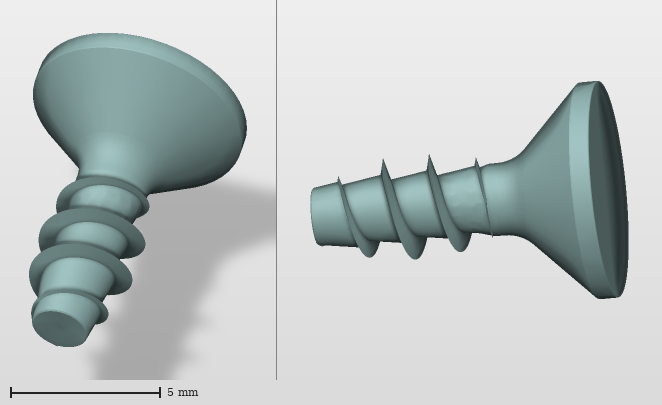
import math

import cadquery as cq

length = 10.0

head_radius = 3.65
rim_depth = 0.66
rim_rounding = 0.05
rim_edge_break = 0.03

neck_radius = 1.22
neck_blend_radius = 1.41
neck_end_depth = 3.97

pitch = 1.57
first_crest_depth = 4.13
head_flank_slope = 0.26
tip_flank_slope = 0.24
thread_first_turn = -0.27
crest_start_radius = 1.4
crest_start_gap = 0.01
crest_full_radius = 1.75
crest_full_depth = 5.7
crest_taper_depth = 7.7
crest_end_radius = 0.97

ramp_high_radius = 1.21
ramp_low_radius = 0.97
ramp_overrun = 0.3
ramp_gap = 0.01
run_out_depth = 5.1
inner_radius = 0.9
thread_base_radius = 0.85
ramp_base_radius = 0.8

tip_radius = 0.96
tip_cone_slope = 0.15
tip_chamfer = 0.04
dimple_radius = tip_radius - tip_chamfer
dimple_depth = 0.09

tip_turn = (length - first_crest_depth) / pitch
points_per_turn = 24


def revolve_profile(profile):
    """Revolve a closed (radius, Y) profile about the Y axis."""
    return profile.close().revolve(360, (0, 0, 0), (0, 1, 0))


def helix_edge(radius_at, depth_at, first_turn, last_turn):
    """Right-handed helical edge; radius and depth are functions of the turn."""
    steps = math.ceil((last_turn - first_turn) * points_per_turn)
    turns = [first_turn + (last_turn - first_turn) * step / steps for step in range(steps + 1)]
    points = []
    for turn in turns:
        angle = 2 * math.pi * turn
        radius = radius_at(turn)
        points.append(cq.Vector(radius * math.cos(angle), -depth_at(turn), radius * math.sin(angle)))
    return cq.Edge.makeSpline(points, parameters=turns)


def helical_solid(corners, first_turn, last_turn):
    """Solid whose section corners, given as (radius, depth) functions, follow helices."""
    edges = [helix_edge(radius_at, depth_at, first_turn, last_turn) for radius_at, depth_at in corners]
    next_edges = edges[1:] + edges[:1]
    faces = [cq.Face.makeRuledSurface(edge, other) for edge, other in zip(edges, next_edges)]
    for end_points in ([e.startPoint() for e in edges], [e.endPoint() for e in edges]):
        faces.append(cq.Face.makeFromWires(cq.Wire.makePolygon(end_points, close=True)))
    return cq.Workplane(obj=cq.Solid.makeSolid(cq.Shell.makeShell(faces)).fix())


def helix_depth(turn):
    return first_crest_depth + pitch * turn


def crest_depth(turn):
    """The crest follows the helix, but its start runs flat along the end of the neck."""
    return max(helix_depth(turn), neck_end_depth + crest_start_gap)


def crest_radius(turn):
    """Crest grows below the neck, stays constant, then tapers down to the tip."""
    depth = crest_depth(turn)
    growth = (crest_full_radius - crest_start_radius) / (crest_full_depth - neck_end_depth)
    taper = (crest_full_radius - crest_end_radius) / (length - crest_taper_depth)
    growing = crest_full_radius - growth * (crest_full_depth - depth)
    tapering = crest_full_radius - taper * (depth - crest_taper_depth)
    return min(growing, crest_full_radius, tapering)


def head_and_neck():
    """Head, neck and the short cone that runs out into the helical ramp."""
    cone_angle = math.pi / 4
    sin45 = math.sin(cone_angle)
    bevel_width = rim_edge_break * math.tan(cone_angle / 2)
    blend_top_radius = neck_radius + neck_blend_radius * (1 - sin45)
    blend_top_depth = rim_depth + head_radius - blend_top_radius
    blend_end_depth = blend_top_depth + neck_blend_radius * sin45
    blend_angle = cone_angle / 2
    blend_middle = (
        neck_radius + neck_blend_radius * (1 - math.cos(blend_angle)),
        -(blend_end_depth - neck_blend_radius * math.sin(blend_angle)),
    )
    profile = (
        cq.Workplane("XY")
        .lineTo(head_radius - rim_rounding, 0)
        .radiusArc((head_radius, -rim_rounding), rim_rounding)
        .lineTo(head_radius, -rim_depth + rim_edge_break)
        .lineTo(head_radius - bevel_width, -rim_depth - bevel_width)
        .lineTo(blend_top_radius, -blend_top_depth)
        .threePointArc(blend_middle, (neck_radius, -blend_end_depth))
        .lineTo(neck_radius, -neck_end_depth)
        .lineTo(inner_radius, -run_out_depth)
        .lineTo(0, -run_out_depth)
    )
    return revolve_profile(profile)


def shank_cylinder(radius, top_depth):
    """Cylinder about the Y axis from top_depth to the tip."""
    return cq.Workplane("XZ", origin=(0, -top_depth, 0)).circle(radius).extrude(length - top_depth)


def tip_envelope():
    """Space the core may fill: below the neck and inside the chamfered tip cone."""
    top_radius = tip_radius + tip_cone_slope * (length - neck_end_depth)
    profile = (
        cq.Workplane("XY")
        .moveTo(0, -neck_end_depth)
        .lineTo(top_radius, -neck_end_depth)
        .lineTo(tip_radius + tip_cone_slope * tip_chamfer, -length + tip_chamfer)
        .lineTo(dimple_radius, -length)
        .lineTo(0, -length)
    )
    return revolve_profile(profile)


def core_ramp():
    """Helical ramp around the inner cylinder, one pitch wide."""
    bottom = pitch - ramp_gap

    def corner(radius, offset):
        return (lambda turn: radius, lambda turn: helix_depth(turn) + offset)

    corners = [
        corner(ramp_high_radius, 0),
        corner(ramp_low_radius, bottom),
        corner(ramp_base_radius, bottom),
        corner(ramp_base_radius, 0),
    ]
    ramp = helical_solid(corners, -1 - ramp_overrun, tip_turn + ramp_overrun)
    return ramp.intersect(tip_envelope())


def thread():
    """Sharp triangular ridge, cut flat at the end of the neck and at the tip."""

    def base_radius(turn):
        return thread_base_radius

    def base_depth(slope):
        return lambda turn: crest_depth(turn) + slope * (crest_radius(turn) - thread_base_radius)

    corners = [
        (crest_radius, crest_depth),
        (base_radius, base_depth(tip_flank_slope)),
        (base_radius, base_depth(-head_flank_slope)),
    ]
    ridge = helical_solid(corners, thread_first_turn, tip_turn)
    return ridge.intersect(shank_cylinder(head_radius, neck_end_depth))


def tip_dimple():
    profile = cq.Workplane("XY").moveTo(0, -length).lineTo(dimple_radius, -length).lineTo(0, dimple_depth - length)
    return revolve_profile(profile)


shank = shank_cylinder(inner_radius, rim_depth).union(core_ramp()).union(thread())
result = shank.union(head_and_neck()).cut(tip_dimple())